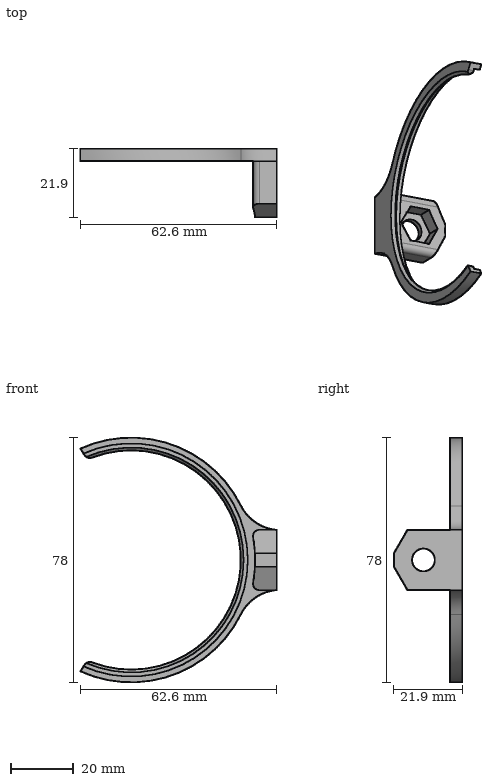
import cadquery as cq
import math

ring_thickness = 4.0
outer_radius = 39.0
seat_radius = 37.1
seat_depth = 2.0
lip_edge_radius = 35.8
lip_crest_radius = 34.9
lip_crest_y = (seat_depth + ring_thickness) / 2

ring_left_x = -16.2
end_slope = 57.0
lip_corner_radius = 2.0

block_right_x = 46.4
block_half_height = 9.6
block_reach = 17.85
block_face_radius = 39.5
block_edge_radius = 2.0
tip_half_height = 2.1
tip_slope = 60.0

flank_radius = 14.0

hole_diameter = 7.2
hole_y = -8.4
nut_across_flats = 11.55
nut_floor_thickness = 1.95


def xz_plane(back_y):
    """Workplane at y = back_y with local axes X and Z; it extrudes toward -Y."""
    return cq.Workplane("XZ", origin=(0, back_y, 0))


def make_ring():
    """Revolved section: a seat at the front and a pointed lip behind it."""
    section = [
        (outer_radius, 0),
        (outer_radius, ring_thickness),
        (lip_edge_radius, ring_thickness),
        (lip_crest_radius, lip_crest_y),
        (lip_edge_radius, seat_depth),
        (seat_radius, seat_depth),
        (seat_radius, 0),
    ]
    return cq.Workplane("XY").polyline(section).close().revolve(360, (0, 0, 0), (0, 1, 0))


def make_ring_blank():
    """Flat open annulus with slanted ends whose inner corners are rounded."""
    end_z = math.sqrt(outer_radius**2 - ring_left_x**2)
    slope = math.radians(end_slope)
    apex_x = ring_left_x + end_z / math.tan(slope)
    far_x = -2 * outer_radius
    far_z = (apex_x - far_x) * math.tan(slope)
    opening = (
        xz_plane(ring_thickness)
        .polyline([(apex_x, 0), (far_x, far_z), (far_x, -far_z)])
        .close()
        .extrude(ring_thickness)
    )
    annulus = xz_plane(ring_thickness).circle(outer_radius).circle(lip_crest_radius).extrude(ring_thickness)
    inner_corners = cq.selectors.BoxSelector(
        (ring_left_x + 0.8, 0, -outer_radius), (0, ring_thickness, outer_radius)
    )
    return annulus.cut(opening).edges("|Y").edges(inner_corners).fillet(lip_corner_radius)


def make_web():
    """Plate joining the ring to the block, with a concave flank tangent to the ring on each side."""
    corner_distance = math.hypot(block_right_x, block_half_height)
    centre_distance = outer_radius + flank_radius
    corner_angle = math.atan2(block_half_height, block_right_x)
    centre_angle = corner_angle + math.acos(
        (corner_distance**2 + centre_distance**2 - flank_radius**2) / (2 * corner_distance * centre_distance)
    )
    flank_x = centre_distance * math.cos(centre_angle)
    flank_z = centre_distance * math.sin(centre_angle)
    tangent_x = outer_radius * math.cos(centre_angle)
    tangent_z = outer_radius * math.sin(centre_angle)
    start_angle = centre_angle - math.pi
    stop_angle = math.atan2(block_half_height - flank_z, block_right_x - flank_x)
    middle_angle = (start_angle + stop_angle) / 2
    middle_x = flank_x + flank_radius * math.cos(middle_angle)
    middle_z = flank_z + flank_radius * math.sin(middle_angle)
    ring_middle_x = (seat_radius + outer_radius) / 2
    outline = (
        xz_plane(ring_thickness)
        .moveTo(tangent_x, tangent_z)
        .threePointArc((middle_x, middle_z), (block_right_x, block_half_height))
        .lineTo(block_right_x, -block_half_height)
        .threePointArc((middle_x, -middle_z), (tangent_x, -tangent_z))
        .threePointArc((ring_middle_x, 0), (tangent_x, tangent_z))
        .close()
    )
    return outline.extrude(ring_thickness)


def make_block():
    """Block with a tapered tip, a hollow left face and rounded left edges."""
    taper_length = (block_half_height - tip_half_height) / math.tan(math.radians(tip_slope))
    shoulder_y = -block_reach + taper_length
    side_outline = [
        (0, block_half_height),
        (shoulder_y, block_half_height),
        (-block_reach, tip_half_height),
        (-block_reach, -tip_half_height),
        (shoulder_y, -block_half_height),
        (0, -block_half_height),
    ]
    block = cq.Workplane("YZ").polyline(side_outline).close().extrude(block_right_x)
    face_edge_x = math.sqrt(block_face_radius**2 - block_half_height**2)
    bar = (
        xz_plane(0)
        .moveTo(block_right_x, block_half_height)
        .lineTo(face_edge_x, block_half_height)
        .threePointArc((block_face_radius, 0), (face_edge_x, -block_half_height))
        .lineTo(block_right_x, -block_half_height)
        .close()
        .extrude(block_reach)
        .edges("|Y and (not >X)")
        .fillet(block_edge_radius)
    )
    return block.intersect(bar)


def cut_nut_seat(body):
    """Round hole through the block and a hexagonal pocket open toward the ring."""
    start = cq.Workplane("YZ", origin=(lip_edge_radius, 0, 0)).center(hole_y, 0)
    hole = start.circle(hole_diameter / 2).extrude(block_right_x - lip_edge_radius)
    nut_across_corners = nut_across_flats / math.cos(math.pi / 6)
    pocket_length = block_right_x - nut_floor_thickness - lip_edge_radius
    pocket = start.polygon(6, nut_across_corners).extrude(pocket_length)
    return body.cut(hole).cut(pocket)


ring = make_ring().intersect(make_ring_blank())
result = cut_nut_seat(ring.union(make_web()).union(make_block()))